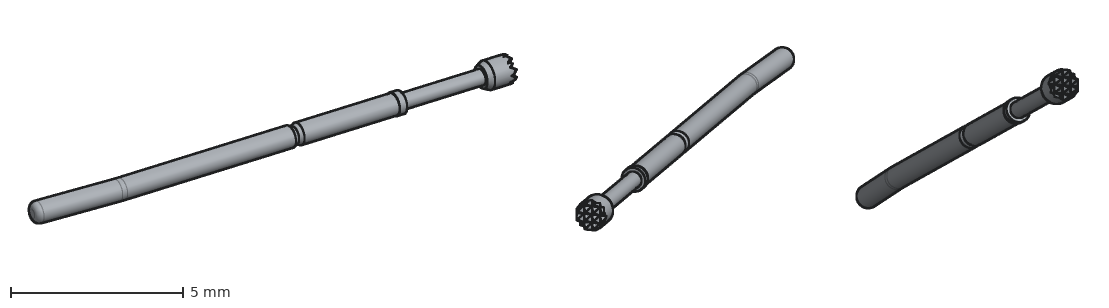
import cadquery as cq
import math


head_radius = 0.45
head_neck_radius = 0.35
head_cylinder_length = 0.8
head_cone_length = 0.2
plunger_radius = 0.25
plunger_exposed_length = 2.8

tooth_pitch = 0.25
tooth_angle = 60.0
grooves_per_direction = 5

collar_radius = 0.365
collar_length = 0.25
barrel_radius = 0.345
barrel_length = 9.45

ring_groove_drop = 3.45
ring_groove_width = 0.3
ring_groove_depth = 0.065

bend_angle = 3.0
bend_length = 0.15
overall_length = 16.5
tail_end_fillet = 0.2

plunger_base_y = collar_length
head_base_y = plunger_base_y + plunger_exposed_length
head_shoulder_y = head_base_y + head_cone_length
tip_y = head_shoulder_y + head_cylinder_length
ring_groove_y = -ring_groove_drop
bend_start_y = -barrel_length
end_y = tip_y - overall_length


def make_straight_body():
    """Revolve everything from the bend to the tip about the Y axis."""
    groove_top = ring_groove_y + ring_groove_width / 2
    groove_bottom = ring_groove_y - ring_groove_width / 2
    groove_floor = barrel_radius - ring_groove_depth
    profile = (
        cq.Workplane("XY")
        .moveTo(0, bend_start_y)
        .lineTo(barrel_radius, bend_start_y)
        .lineTo(barrel_radius, groove_bottom)
        .lineTo(groove_floor, ring_groove_y)
        .lineTo(barrel_radius, groove_top)
        .lineTo(barrel_radius, 0)
        .lineTo(collar_radius, 0)
        .lineTo(collar_radius, plunger_base_y)
        .lineTo(plunger_radius, plunger_base_y)
        .lineTo(plunger_radius, head_base_y)
        .lineTo(head_neck_radius, head_base_y)
        .lineTo(head_radius, head_shoulder_y)
        .lineTo(head_radius, tip_y)
        .lineTo(0, tip_y)
        .close()
    )
    return profile.revolve(360, (0, 0, 0), (0, 1, 0))


def cut_serrations(body):
    """Cut V grooves along Z, and the same set turned to run along X."""
    depth = tooth_pitch / 2 / math.tan(math.radians(tooth_angle / 2))
    first_groove_x = -tooth_pitch * (grooves_per_direction - 1) / 2
    for index in range(grooves_per_direction):
        groove_x = first_groove_x + index * tooth_pitch
        groove = (
            cq.Workplane("XY")
            .moveTo(groove_x - tooth_pitch / 2, tip_y)
            .lineTo(groove_x, tip_y - depth)
            .lineTo(groove_x + tooth_pitch / 2, tip_y)
            .close()
            .extrude(2 * head_radius, both=True)
        )
        crossing_groove = groove.rotate((0, 0, 0), (0, 1, 0), 90)
        body = body.cut(groove).cut(crossing_groove)
    return body


def make_tail():
    """Sweep the barrel section round the bend, then straight on to the rounded end."""
    angle = math.radians(bend_angle)
    bend_radius = bend_length / angle
    bend_centre_x = -bend_radius
    bend_end_x = bend_centre_x + bend_radius * math.cos(angle)
    bend_end_y = bend_start_y - bend_radius * math.sin(angle)

    end_face_radius = barrel_radius - tail_end_fillet
    fillet_drop = end_face_radius * math.sin(angle) + tail_end_fillet * (1 - math.cos(angle))
    tail_length = (bend_end_y - end_y - fillet_drop) / math.cos(angle)

    bend = (
        cq.Workplane("XZ", origin=(0, bend_start_y, 0))
        .circle(barrel_radius)
        .revolve(bend_angle, (bend_centre_x, 1, 0), (bend_centre_x, 0, 0))
    )
    tail_plane = cq.Plane(
        origin=(bend_end_x, bend_end_y, 0),
        xDir=(0, 0, 1),
        normal=(-math.sin(angle), -math.cos(angle), 0),
    )
    straight = (
        cq.Workplane(tail_plane)
        .circle(barrel_radius)
        .extrude(tail_length)
        .faces(cq.selectors.DirectionMinMaxSelector(tail_plane.zDir, True))
        .edges()
        .fillet(tail_end_fillet)
    )
    return bend.union(straight)


result = cut_serrations(make_straight_body()).union(make_tail())